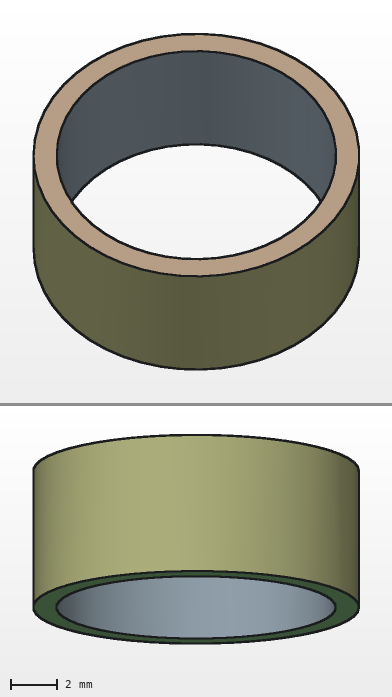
import cadquery as cq

outer_diameter = 14.0
inner_diameter = 12.0
height = 6.0

result = (
    cq.Workplane("XY")
    .circle(outer_diameter / 2)
    .circle(inner_diameter / 2)
    .extrude(height)
)